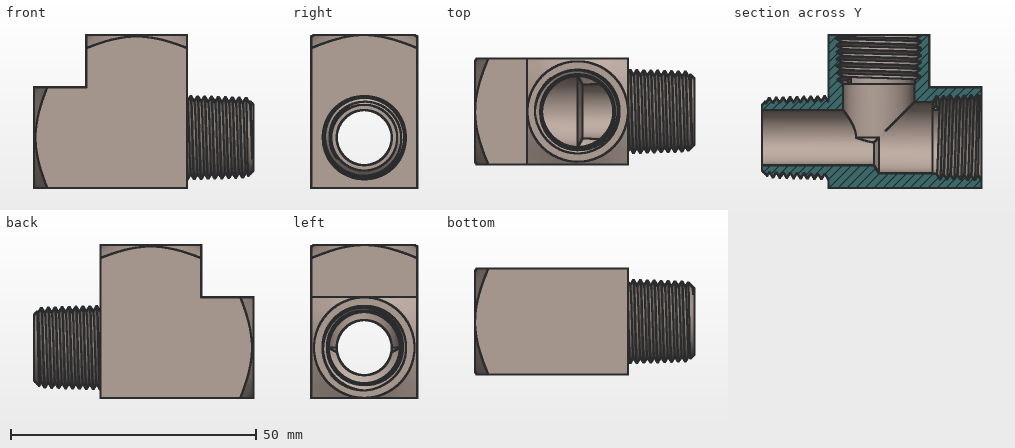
import cadquery as cq
import math

body_length = 31.28
body_depth = 21.65
arm_width = 20.6
total_length = 44.8
axis_height = arm_width / 2
branch_x = body_length - arm_width / 2

crown_face_radius = 10.25
crown_angle = 30.0

drill_radius = 7.25
drill_point_half_angle = 59.0
countersink_radius = 8.55
countersink_depth = 0.8
female_thread_length = 10.05
mouth_radius = 7.65
through_radius = 5.6

pitch = 1.41
thread_depth = 1.08
thread_width = 1.4
taper = 1 / 32
taper_angle = math.degrees(math.atan(taper))
stud_crest_radius = 8.5
stud_end_chamfer_angle = 45.0
stud_end_radius = 6.7
base_overrun = 0.05
stud_embed = 0.9
stud_thread_start = -0.65 - pitch
run_out = 3 * pitch


def revolve_profile(points):
    """Solid of revolution about Z from (radius, height) points."""
    return cq.Workplane("XZ").polyline(points).close().revolve(360, (0, 0, 0), (0, 1, 0))


def along_x(solid, start_x):
    """Turn a solid from +Z to +X and set it on the run axis at start_x."""
    return solid.rotate((0, 0, 0), (0, 1, 0), 90).translate((start_x, 0, axis_height))


def down_branch(solid):
    """Turn a solid from +Z to -Z and set it on the top of the branch axis."""
    return solid.rotate((0, 0, 0), (1, 0, 0), 180).translate((branch_x, 0, body_length))


def threaded_cone(radius, thread_start, thread_end, inward):
    """Cone narrowing towards +Z, of the given radius at Z = 0, with a V thread wound on it.

    The thread is cut into the cone (inward) or stands out of it as a ridge.
    The cone runs on past both ends of the thread, ready to be trimmed.
    """
    bottom = thread_start - run_out
    top = thread_end + run_out
    cone = revolve_profile([
        (0, bottom),
        (radius - taper * bottom, bottom),
        (radius - taper * top, top),
        (0, top),
    ])
    direction = -1 if inward else 1
    start_radius = radius - taper * thread_start
    tip = start_radius + direction * thread_depth
    base = start_radius - direction * base_overrun
    half_width = thread_width / 2
    helix = cq.Wire.makeHelix(pitch, thread_end - thread_start, start_radius, angle=-taper_angle)
    profile = cq.Workplane("XZ").polyline([(tip, 0), (base, half_width), (base, -half_width)]).close()
    thread = profile.sweep(cq.Workplane(obj=helix), isFrenet=True).translate((0, 0, thread_start))
    return cone.cut(thread) if inward else cone.union(thread)


def crown():
    """Cone that trims the corners of a female end, with its face at Z = 0."""
    reach = body_length * 2
    end_radius = crown_face_radius + reach / math.tan(math.radians(crown_angle))
    return revolve_profile([(0, 0), (crown_face_radius, 0), (end_radius, reach), (0, reach)])


def female_port(depth, thread_start):
    """Threaded, drilled and countersunk bore running from Z = 0 towards +Z."""
    point_depth = drill_radius / math.tan(math.radians(drill_point_half_angle))
    drilled = revolve_profile([
        (0, 0),
        (countersink_radius, 0),
        (mouth_radius - taper * countersink_depth, countersink_depth),
        (drill_radius, countersink_depth),
        (drill_radius, depth),
        (0, depth + point_depth),
    ])
    thread_end = female_thread_length - pitch / 2
    thread = threaded_cone(mouth_radius, thread_start, thread_end, inward=False)
    thread_space = cq.Workplane().circle(arm_width / 2).extrude(female_thread_length)
    return drilled.union(thread.intersect(thread_space))


def male_stud():
    """Tapered threaded stud, rooted inside the body, body face at Z = 0, with a chamfered tip."""
    length = total_length - body_length
    chamfer_height = (arm_width / 2 - stud_end_radius) / math.tan(math.radians(stud_end_chamfer_angle))
    envelope = revolve_profile([
        (0, -stud_embed),
        (arm_width / 2, -stud_embed),
        (arm_width / 2, length - chamfer_height),
        (stud_end_radius, length),
        (0, length),
    ])
    thread = threaded_cone(stud_crest_radius, stud_thread_start, length + pitch, inward=True)
    return thread.intersect(envelope)


body = (
    cq.Workplane("XZ")
    .polyline([
        (0, 0),
        (body_length, 0),
        (body_length, body_length),
        (body_length - arm_width, body_length),
        (body_length - arm_width, arm_width),
        (0, arm_width),
    ])
    .close()
    .extrude(body_depth / 2, both=True)
)
body = body.intersect(along_x(crown(), 0)).intersect(down_branch(crown()))

body = body.union(along_x(male_stud(), body_length))

passage = along_x(cq.Workplane().circle(through_radius).extrude(total_length), 0)
body = body.cut(passage)
body = body.cut(along_x(female_port(branch_x, -pitch), 0))
result = body.cut(down_branch(female_port(body_length - axis_height, -pitch / 2)))